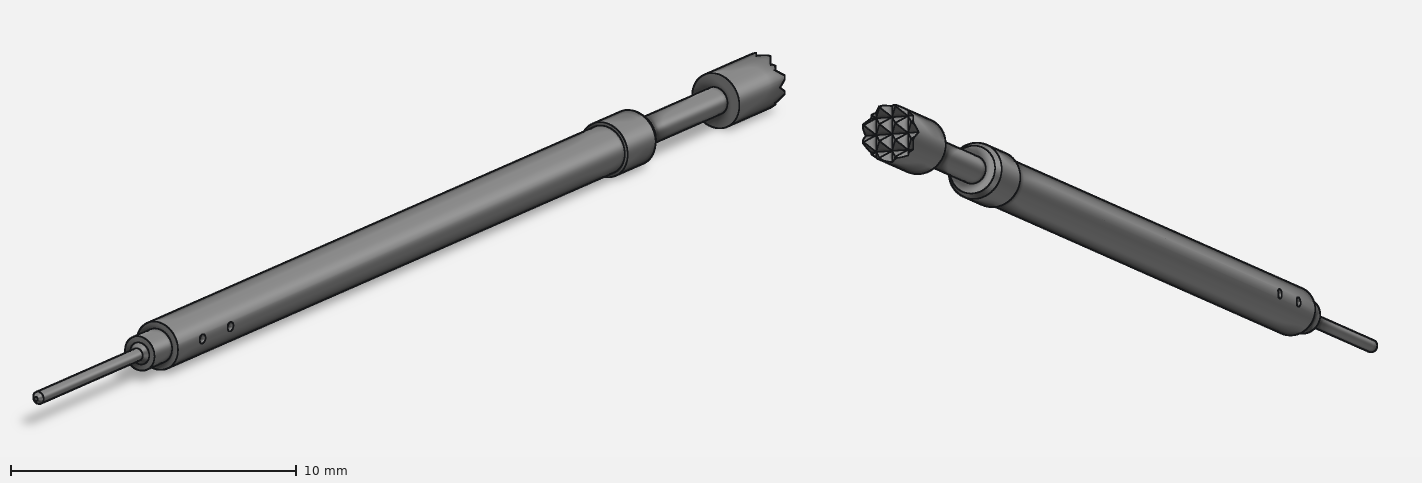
import cadquery as cq


total_length = 45.6
head_top_y = total_length / 2

head_diameter = 2.0
plunger_diameter = 1.0
collar_diameter = 2.0
barrel_diameter = 1.75
plug_diameter = 1.25
wire_diameter = 0.45

head_length = 3.0
collar_start = 8.0
collar_end = 10.0
barrel_end = 38.0
plug_end = 39.1

collar_chamfer_length = 0.25
collar_chamfer_depth = 0.15
wire_chamfer = 0.15

shoulder_diameter = 0.8
shoulder_length = 0.15

groove_count = 5
groove_pitch = 0.6
groove_depth = 0.45

dimple_distances = (34.7, 36.45)
dimple_diameter = 0.42
dimple_depth = 0.1


def cylinder(diameter, start, end):
    """Cylinder about the Y axis between two distances from the tooth tips."""
    base = cq.Workplane("XZ", origin=(0, head_top_y - start, 0))
    return base.circle(diameter / 2).extrude(end - start)


def serration_groove(offset):
    """V-groove running along Z, centred at the given X offset."""
    half_width = groove_pitch / 2
    profile = [
        (offset - half_width, head_top_y),
        (offset, head_top_y - groove_depth),
        (offset + half_width, head_top_y),
    ]
    groove = cq.Workplane("XY").polyline(profile).close()
    return groove.extrude(head_diameter, both=True)


def make_head():
    head = cylinder(head_diameter, 0, head_length)
    for index in range(groove_count):
        offset = (index - (groove_count - 1) / 2) * groove_pitch
        groove = serration_groove(offset)
        head = head.cut(groove)
        head = head.cut(groove.rotate((0, 0, 0), (0, 1, 0), 90))
    return head


def make_collar():
    collar = cylinder(collar_diameter, collar_start, collar_end)
    return collar.faces(">Y").edges().chamfer(collar_chamfer_length, collar_chamfer_depth)


def make_barrel():
    barrel = cylinder(barrel_diameter, collar_end, barrel_end)
    ball_offset = barrel_diameter / 2 - dimple_depth + dimple_diameter / 2
    for distance in dimple_distances:
        for side in (-1, 1):
            ball = cq.Workplane("XY").sphere(dimple_diameter / 2)
            barrel = barrel.cut(ball.translate((side * ball_offset, head_top_y - distance, 0)))
    return barrel


def make_plug():
    plug = cylinder(plug_diameter, barrel_end, plug_end)
    shoulder_end = plug_end + shoulder_length
    profile = [
        (0, head_top_y - plug_end),
        (shoulder_diameter / 2, head_top_y - plug_end),
        (wire_diameter / 2, head_top_y - shoulder_end),
        (0, head_top_y - shoulder_end),
    ]
    shoulder = cq.Workplane("XY").polyline(profile).close().revolve(360, (0, 0, 0), (0, 1, 0))
    return plug.union(shoulder)


def make_wire():
    wire = cylinder(wire_diameter, plug_end, total_length)
    return wire.faces("<Y").edges().chamfer(wire_chamfer)


plunger = cylinder(plunger_diameter, head_length, collar_start)

result = (
    make_head()
    .union(plunger)
    .union(make_collar())
    .union(make_barrel())
    .union(make_plug())
    .union(make_wire())
)